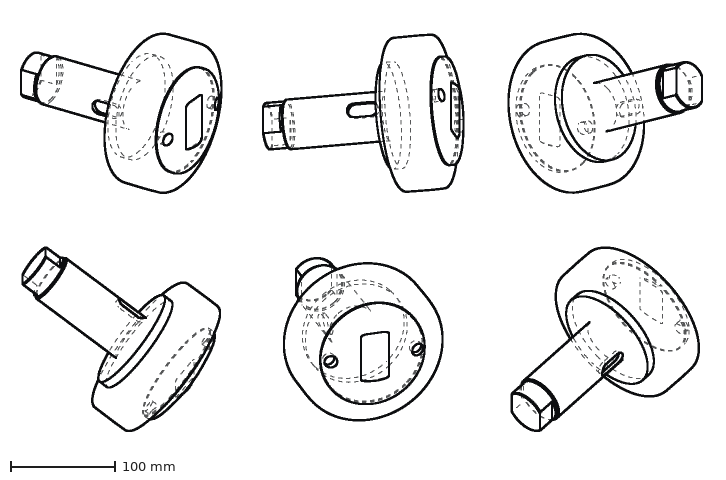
import cadquery as cq


overall_length = 189.0
tip_end = 20.0
collar_start = 119.6
roller_start = 128.7
roller_cone_start = 170.0
roller_end = 173.9
cap_start = 175.0
cap_cone_start = 180.7
cap_end = 184.8

tip_radius = 45.0 / 2
shaft_radius = 48.0 / 2
collar_radius = 103.0 / 2
roller_radius = 149.0 / 2
roller_edge_radius = 74.0
roller_cone_end_radius = 60.1
cap_radius = 104.5 / 2
cap_face_radius = 36.7

tip_chamfer = 0.8
shaft_chamfer = 1.1
shaft_root_fillet = 1.0
roller_fillet = 3.0
cap_fillet = 2.3

flat_length = 17.8
flat_width = 36.0

pocket_start = 84.7
pocket_length = 30.5
pocket_width = 14.2
pocket_depth = 5.0

pin_radius = 26.3
pin_length = 49.5
pin_fillet = 2.8

spanner_hole_diameter = 12.0
spanner_hole_offset = 43.8
spanner_hole_depth = 9.5


def cylinder(start, end, radius):
    """Solid cylinder along X between two positions."""
    return cq.Workplane("YZ", origin=(start, 0, 0)).circle(radius).extrude(end - start)


def fillet_rim(body, position, rim_radius, fillet_radius):
    """Round the circular edge of the given radius that lies at one X position."""
    tolerance = 0.2
    reach = rim_radius + tolerance
    rim = cq.selectors.BoxSelector(
        (position - tolerance, -reach, -reach),
        (position + tolerance, reach, reach),
        boundingbox=True,
    )
    return body.edges(rim).fillet(fillet_radius)


def make_stud():
    tip = cylinder(0, tip_end, tip_radius).faces("<X").chamfer(tip_chamfer)
    shaft = cylinder(tip_end, collar_start, shaft_radius).faces("<X").chamfer(shaft_chamfer)
    collar = cylinder(collar_start, cap_start, collar_radius)
    body = fillet_rim(shaft.union(collar), collar_start, shaft_radius, shaft_root_fillet)
    return body.union(tip)


def make_roller():
    """Slightly crowned roller with a conical shoulder on its +X side."""
    profile = (
        cq.Workplane("XY")
        .moveTo(roller_start, 0)
        .lineTo(roller_start, roller_edge_radius)
        .threePointArc(
            ((roller_start + roller_cone_start) / 2, roller_radius),
            (roller_cone_start, roller_edge_radius),
        )
        .lineTo(roller_end, roller_cone_end_radius)
        .lineTo(roller_end, 0)
        .close()
    )
    roller = profile.revolve(360, (0, 0, 0), (1, 0, 0))
    for position in (roller_start, roller_cone_start):
        roller = fillet_rim(roller, position, roller_edge_radius, roller_fillet)
    return roller


def make_cap():
    """Disc with a conical outer face."""
    profile = cq.Workplane("XY").polyline([
        (cap_start, 0),
        (cap_start, cap_radius),
        (cap_cone_start, cap_radius),
        (cap_end, cap_face_radius),
        (cap_end, 0),
    ]).close()
    cap = profile.revolve(360, (0, 0, 0), (1, 0, 0))
    return fillet_rim(cap, cap_cone_start, cap_radius, cap_fillet)


def make_pin():
    pin = cq.Workplane("XY").circle(pin_radius).extrude(pin_length / 2, both=True)
    return pin.edges("%CIRCLE").fillet(pin_fillet).translate((overall_length - pin_radius, 0, 0))


def make_flat_cutter(side):
    """Block that removes everything beyond one wrench flat."""
    block_depth = 2 * tip_radius
    block = cq.Workplane("XY").box(flat_length, block_depth, 4 * tip_radius)
    return block.translate((flat_length / 2, side * (flat_width + block_depth) / 2, 0))


def make_pocket_cutter():
    pocket_center = pocket_start + pocket_length / 2
    floor = shaft_radius - pocket_depth
    return (
        cq.Workplane("XZ", origin=(pocket_center, -floor, 0))
        .slot2D(pocket_length, pocket_width)
        .extrude(shaft_radius)
    )


def make_spanner_hole(side):
    hole = cylinder(cap_end - spanner_hole_depth, overall_length, spanner_hole_diameter / 2)
    return hole.translate((0, side * spanner_hole_offset, 0))


result = make_stud().union(make_roller()).union(make_cap()).union(make_pin())
result = result.cut(make_pocket_cutter())
for side in (-1, 1):
    result = result.cut(make_flat_cutter(side))
    result = result.cut(make_spanner_hole(side))